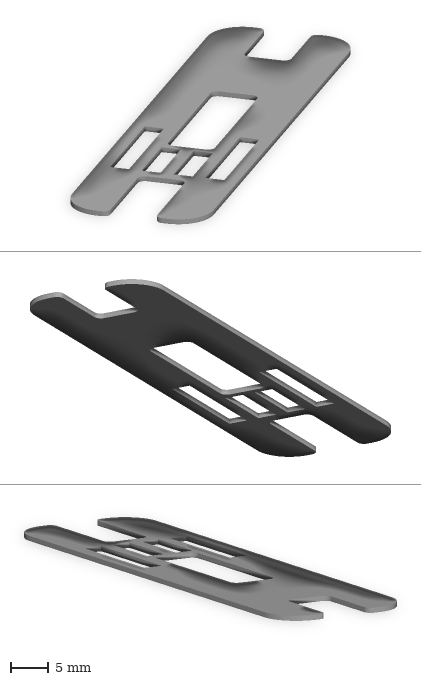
import cadquery as cq

length = 71.0
width = 20.0
thickness = 0.7
corner_radius = 5.0

opening_width = 6.6
opening_radius = 1.0
rear_notch_depth = 10.5
front_notch_depth = 14.1
window_length = 21.0
window_front = 26.0

slot_width = 2.7
slot_front = 16.0
outer_slot_length = 15.7
inner_slot_length = 9.0
outer_slot_offset = 6.75
inner_slot_offset = 2.3

front_end = -length / 2
rear_end = length / 2


def cutter(size_x, size_y, center_x, front_y):
    """Rectangular block through the plate, starting at front_y."""
    return (
        cq.Workplane("XY")
        .center(center_x, front_y + size_y / 2)
        .rect(size_x, size_y)
        .extrude(thickness)
    )


plate = cq.Workplane("XY").rect(width, length).extrude(thickness)
plate = plate.edges("|Z").fillet(corner_radius)

plate = plate.cut(cutter(opening_width, front_notch_depth, 0, front_end))
plate = plate.cut(cutter(opening_width, rear_notch_depth, 0, rear_end - rear_notch_depth))

notch_corners = cq.selectors.BoxSelector(
    (-opening_width / 2 - opening_radius, -length, -thickness),
    (opening_width / 2 + opening_radius, length, 2 * thickness),
)
plate = plate.edges("|Z").edges(notch_corners).fillet(opening_radius)

window = cutter(opening_width, window_length, 0, front_end + window_front)
plate = plate.cut(window.edges("|Z").fillet(opening_radius))

for side in (-1, 1):
    for offset, slot_length in (
        (outer_slot_offset, outer_slot_length),
        (inner_slot_offset, inner_slot_length),
    ):
        plate = plate.cut(cutter(slot_width, slot_length, side * offset, front_end + slot_front))

result = plate